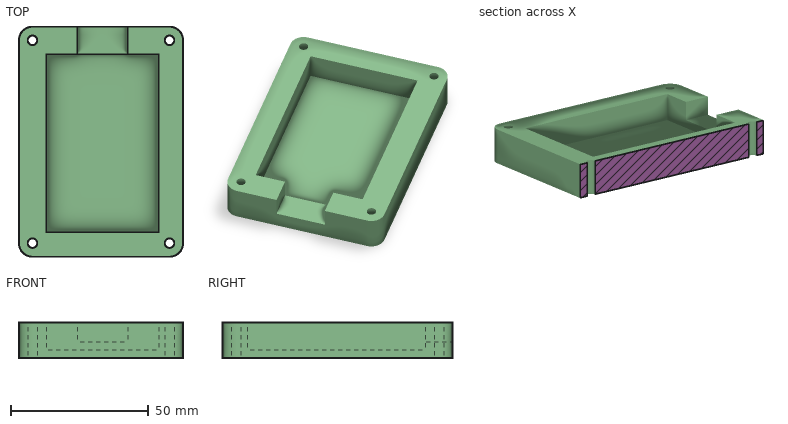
import cadquery as cq

LENGTH_X = 60.0
LENGTH_Y = 84.0
HEIGHT = 13.0
CORNER_RADIUS = 5.0

HOLE_DIAMETER = 3.4
HOLE_INSET = CORNER_RADIUS

WALL_LEFT = 10.0
WALL_RIGHT = 9.0
WALL_FRONT = 9.0
WALL_BACK = 10.0
POCKET_DEPTH = 10.0

NOTCH_WIDTH = 18.5
NOTCH_LEFT = (WALL_LEFT + LENGTH_X - WALL_RIGHT - NOTCH_WIDTH) / 2
NOTCH_DEPTH = 7.0


def top_cut(x_start, y_start, x_end, y_end, depth):
    """Box that reaches down from the top face by the given depth."""
    return (
        cq.Workplane("XY", origin=(x_start, y_start, HEIGHT - depth))
        .box(x_end - x_start, y_end - y_start, depth, centered=False)
    )


def outer_block():
    return (
        cq.Workplane("XY")
        .box(LENGTH_X, LENGTH_Y, HEIGHT, centered=False)
        .edges("|Z")
        .fillet(CORNER_RADIUS)
    )


def corner_holes():
    centres = [
        (x, y)
        for x in (HOLE_INSET, LENGTH_X - HOLE_INSET)
        for y in (HOLE_INSET, LENGTH_Y - HOLE_INSET)
    ]
    return cq.Workplane("XY").pushPoints(centres).circle(HOLE_DIAMETER / 2).extrude(HEIGHT)


def pocket():
    return top_cut(WALL_LEFT, WALL_FRONT, LENGTH_X - WALL_RIGHT, LENGTH_Y - WALL_BACK, POCKET_DEPTH)


def back_notch():
    return top_cut(NOTCH_LEFT, LENGTH_Y - WALL_BACK, NOTCH_LEFT + NOTCH_WIDTH, LENGTH_Y, NOTCH_DEPTH)


result = outer_block().cut(corner_holes()).cut(pocket()).cut(back_notch())